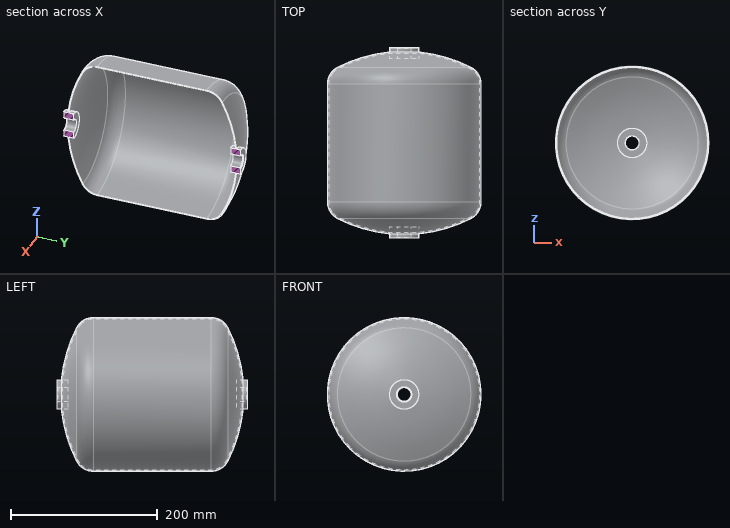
import cadquery as cq
import math

tank_diameter = 210.0
tank_length = 260.0
wall = 2.0
cylinder_length = 161.0
knuckle_radius = 25.5
dome_radius = 200.0

socket_diameter = 40.0
socket_length = 15.0
bore_diameter = 18.63
bore_mouth_diameter = 20.955

tank_radius = tank_diameter / 2
half_length = tank_length / 2
half_cylinder = cylinder_length / 2
bore_chamfer = (bore_mouth_diameter - bore_diameter) / 2

knuckle_center_radius = tank_radius - knuckle_radius
seam_angle = math.asin(knuckle_center_radius / (dome_radius - knuckle_radius))
dome_center = half_cylinder - (dome_radius - knuckle_radius) * math.cos(seam_angle)


def vessel_solid(inset):
    """Solid of revolution about Y, offset inwards from the outer skin by inset."""
    crown = dome_radius - inset
    knuckle = knuckle_radius - inset

    def on_dome(angle):
        return crown * math.sin(angle), dome_center + crown * math.cos(angle)

    def on_knuckle(angle):
        return (
            knuckle_center_radius + knuckle * math.sin(angle),
            half_cylinder + knuckle * math.cos(angle),
        )

    def mirrored(point):
        return point[0], -point[1]

    apex = on_dome(0)
    dome_middle = on_dome(seam_angle / 2)
    seam = on_dome(seam_angle)
    knuckle_middle = on_knuckle((seam_angle + math.pi / 2) / 2)
    cylinder_end = on_knuckle(math.pi / 2)

    profile = (
        cq.Workplane("XY")
        .moveTo(*apex)
        .threePointArc(dome_middle, seam)
        .threePointArc(knuckle_middle, cylinder_end)
        .lineTo(*mirrored(cylinder_end))
        .threePointArc(mirrored(knuckle_middle), mirrored(seam))
        .threePointArc(mirrored(dome_middle), mirrored(apex))
        .close()
    )
    return profile.revolve(360, (0, 0, 0), (0, 1, 0))


def end_socket():
    """Port socket at the +Y end and its bore, as two separate bodies."""
    outer_face = cq.Workplane("XZ", origin=(0, half_length, 0))
    body = outer_face.circle(socket_diameter / 2).extrude(socket_length)
    bore = outer_face.circle(bore_diameter / 2).extrude(socket_length)
    mouth = (
        outer_face.circle(bore_mouth_diameter / 2)
        .workplane(offset=bore_chamfer)
        .circle(bore_diameter / 2)
        .loft()
    )
    return body, bore.union(mouth)


socket_body, socket_bore = end_socket()

result = vessel_solid(0).cut(vessel_solid(wall))
for turn in (0, 180):
    result = result.union(socket_body.rotate((0, 0, 0), (0, 0, 1), turn))
    result = result.cut(socket_bore.rotate((0, 0, 0), (0, 0, 1), turn))